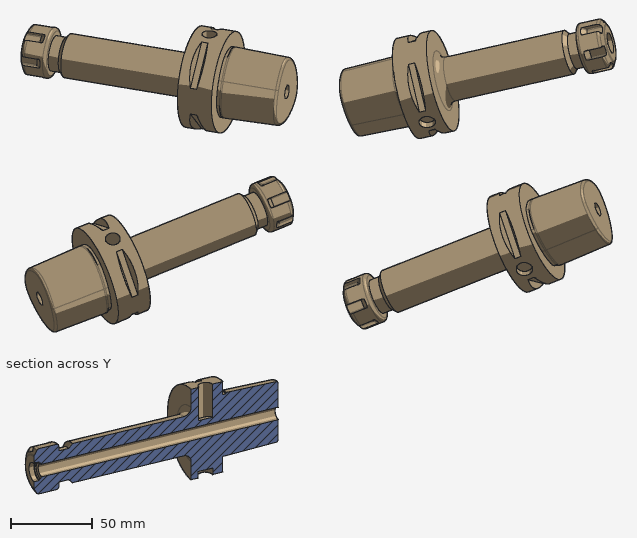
import cadquery as cq
import math


projection = 130.0
shank_length = 38.0
nut_face = -projection

flange_diameter = 63.0
flange_width = 22.0
flange_front = -flange_width
flange_fillet = 5.0

body_diameter = 27.5
neck_diameter = 22.0
neck_end = nut_face + 24.0
neck_chamfer_length = 2.6

nut_diameter = 31.7
nut_length = 17.5
nut_face_diameter = 22.7
nut_cone_angle = 30.0
nut_cone_blend = 2.0
nut_face_blend = 1.5
nut_rear_blend = 2.0

slot_count = 6
slot_width = 6.0
slot_corner_blend = 0.5
slot_floor_radius = 12.8
slot_floor_length = 10.8
long_slot_index = 1
long_slot_extra = 1.2

mouth_diameter = 12.59
mouth_depth = 3.5
collet_diameter = 11.0
collet_land = 1.0
collet_cone_angle = 60.0
bore_diameter = 8.38

groove_count = 4
groove_center = -12.0
groove_floor_distance = 27.7
groove_floor_width = 4.0
groove_top_width = 8.0
index_hole_diameter = 9.0
index_hole_floor_diameter = 17.0
chip_hole_diameter = 10.0
chip_hole_depth = 4.5

polygon_diameter = 44.0
polygon_eccentricity = 1.4
polygon_lobes = 3
taper_ratio = 1.0 / 20.0
relief_diameter = 45.0
relief_length = 2.0
straight_length = 3.0
shank_end_blend = 1.5


def revolve(profile):
    """Close a profile drawn in the XY plane and turn it about the X axis."""
    return profile.close().revolve(360, (0, 0, 0), (1, 0, 0))


def make_holder():
    """Neck, body and flange turned as one; the neck starts inside the nut."""
    body_radius = body_diameter / 2
    neck_radius = neck_diameter / 2
    profile = (
        cq.Workplane("XY")
        .moveTo(nut_face + nut_length / 2, 0)
        .lineTo(nut_face + nut_length / 2, neck_radius)
        .lineTo(neck_end, neck_radius)
        .lineTo(neck_end + neck_chamfer_length, body_radius)
        .lineTo(flange_front - flange_fillet, body_radius)
        .radiusArc((flange_front, body_radius + flange_fillet), -flange_fillet)
        .lineTo(flange_front, flange_diameter / 2)
        .lineTo(0, flange_diameter / 2)
        .lineTo(0, 0)
    )
    return revolve(profile)


def make_slot_cutter(floor_length):
    """Cutter for the slot at +Y: flat floor, 45 degree run-out and rounded floor corners."""
    overshoot = 1.0
    top = nut_diameter / 2 + overshoot
    front = nut_face - overshoot
    floor_end = nut_face + floor_length
    cutter = (
        cq.Workplane("XY")
        .moveTo(front, slot_floor_radius)
        .lineTo(floor_end, slot_floor_radius)
        .lineTo(floor_end + top - slot_floor_radius, top)
        .lineTo(front, top)
        .close()
        .extrude(slot_width / 2, both=True)
    )
    floor_corners = "|X and <Y"
    ramp_corners = "not (|X or |Y or |Z)"
    return cutter.edges(f"({floor_corners}) or ({ramp_corners})").fillet(slot_corner_blend)


def cut_slots(nut):
    for index in range(slot_count):
        extra = long_slot_extra if index == long_slot_index else 0
        cutter = make_slot_cutter(slot_floor_length + extra)
        nut = nut.cut(cutter.rotate((0, 0, 0), (1, 0, 0), index * 360 / slot_count))
    return nut


def make_nut():
    nut_radius = nut_diameter / 2
    face_radius = nut_face_diameter / 2
    cone_length = (nut_radius - face_radius) * math.tan(math.radians(nut_cone_angle))
    profile = (
        cq.Workplane("XY")
        .moveTo(nut_face, 0)
        .lineTo(nut_face, face_radius)
        .lineTo(nut_face + cone_length, nut_radius)
        .lineTo(nut_face + nut_length, nut_radius)
        .lineTo(nut_face + nut_length, 0)
    )
    nut = revolve(profile)
    nut = nut.faces("%CONE").edges(">X").fillet(nut_cone_blend)
    nut = nut.faces("<X").edges().fillet(nut_face_blend)
    nut = nut.faces(">X").edges().fillet(nut_rear_blend)
    return cut_slots(nut)


def cut_bore(solid):
    """Stepped opening in the nut face that narrows to a bore through the whole part."""
    mouth_end = nut_face + mouth_depth
    cone_start = mouth_end + collet_land
    cone_rise = (collet_diameter - bore_diameter) / 2
    cone_end = cone_start + cone_rise / math.tan(math.radians(collet_cone_angle))
    profile = (
        cq.Workplane("XY")
        .moveTo(nut_face, 0)
        .lineTo(nut_face, mouth_diameter / 2)
        .lineTo(mouth_end, mouth_diameter / 2)
        .lineTo(mouth_end, collet_diameter / 2)
        .lineTo(cone_start, collet_diameter / 2)
        .lineTo(cone_end, bore_diameter / 2)
        .lineTo(shank_length, bore_diameter / 2)
        .lineTo(shank_length, 0)
    )
    return solid.cut(revolve(profile))


def cut_grooves(solid):
    half_floor = groove_floor_width / 2
    half_top = groove_top_width / 2
    groove = (
        cq.Workplane("XY")
        .moveTo(groove_center - half_floor, groove_floor_distance)
        .lineTo(groove_center + half_floor, groove_floor_distance)
        .lineTo(groove_center + half_top, flange_diameter / 2)
        .lineTo(groove_center - half_top, flange_diameter / 2)
        .close()
        .extrude(flange_diameter / 2, both=True)
    )
    pitch = 360 / groove_count
    for index in range(groove_count):
        solid = solid.cut(groove.rotate((0, 0, 0), (1, 0, 0), (index + 0.5) * pitch))
    return solid


def cut_index_hole(solid):
    """Radial hole at +Z that ends on a cylinder about the axis."""
    core = cq.Workplane("YZ").circle(index_hole_floor_diameter / 2).extrude(-flange_width)
    hole = (
        cq.Workplane("XY", origin=(groove_center, 0, 0))
        .circle(index_hole_diameter / 2)
        .extrude(flange_diameter / 2)
        .cut(core)
    )
    return solid.cut(hole)


def cut_chip_hole(solid):
    """Flat-bottomed radial hole at -Z."""
    hole = (
        cq.Workplane("XY", origin=(groove_center, 0, -flange_diameter / 2))
        .circle(chip_hole_diameter / 2)
        .extrude(chip_hole_depth)
    )
    return solid.cut(hole)


def polygon_point(normal_angle, mean_diameter):
    """Point of the lobed outline whose normal makes this angle with +Z, as (y, z)."""
    support = mean_diameter / 2 + polygon_eccentricity * math.cos(polygon_lobes * normal_angle)
    slope = -polygon_lobes * polygon_eccentricity * math.sin(polygon_lobes * normal_angle)
    z = support * math.cos(normal_angle) - slope * math.sin(normal_angle)
    y = support * math.sin(normal_angle) + slope * math.cos(normal_angle)
    return (y, z)


def draw_polygon(plane, mean_diameter):
    """Closed outline of one curve per lobe; the curves meet in the middle of the flats."""
    lobe_angle = 2 * math.pi / polygon_lobes
    spans = 12
    for lobe in range(polygon_lobes):
        start = (lobe - 0.5) * lobe_angle
        points = [
            polygon_point(start + step * lobe_angle / spans, mean_diameter)
            for step in range(spans + 1)
        ]
        tangents = [(math.cos(a), -math.sin(a)) for a in (start, start + lobe_angle)]
        plane = plane.moveTo(*points[0]).spline(points[1:], tangents=tangents, includeCurrent=True)
    return plane.wire()


def make_shank():
    """Polygon shank: a relief with turned-down lobes, a straight collar and the taper."""
    taper_length = shank_length - straight_length
    end_diameter = polygon_diameter - taper_ratio * taper_length

    relief = draw_polygon(cq.Workplane("YZ"), polygon_diameter).extrude(relief_length)
    relief = relief.intersect(cq.Workplane("YZ").circle(relief_diameter / 2).extrude(relief_length))

    collar = draw_polygon(cq.Workplane("YZ", origin=(relief_length, 0, 0)), polygon_diameter)
    collar = collar.extrude(straight_length - relief_length)

    taper = draw_polygon(cq.Workplane("YZ", origin=(straight_length, 0, 0)), polygon_diameter)
    taper = draw_polygon(taper.workplane(offset=taper_length), end_diameter).loft(ruled=True)
    taper = taper.faces(">X").edges().fillet(shank_end_blend)
    return relief.union(collar).union(taper)


result = make_holder()
result = cut_grooves(result)
result = cut_index_hole(result)
result = cut_chip_hole(result)
result = result.union(make_nut())
result = result.union(make_shank())
result = cut_bore(result)